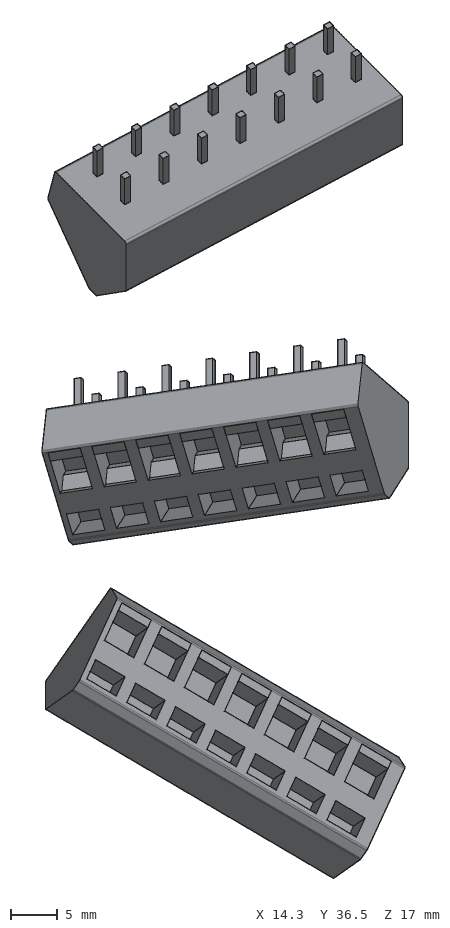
import cadquery as cq
import math

length = 36.55
width = 14.25
body_height = 12.98
pin_height = 4.02
edge_radius = 0.3

left_corner_x = -0.05
left_corner_z = 7.53
top_left_x = 1.28
bottom_left_x = left_corner_x + left_corner_z
bottom_right_x = 8.85
right_corner_z = width - bottom_right_x

pole_count = 7
pitch = 5.1
first_pole_inset = 2.52
first_pole_y = length / 2 - first_pole_inset
pole_positions = [first_pole_y - i * pitch for i in range(pole_count)]

pin_size_x = 0.73
pin_size_y = 0.8
first_pin_row_x = 4.25
second_pin_row_x = 9.3
pin_rows = [first_pin_row_x, second_pin_row_x]

opening_width = 3.73
opening_depth = 3.3
lower_opening_bottom_z = 0.45
lower_opening_top_z = 2.2
upper_opening_bottom_z = 3.95
upper_opening_top_z = 6.7
step_bottom_z = 4.4
step_top_z = 6.35
step_angle = 12.5

pad_top_z = 7.4
pad_rise = 0.055


def slope_point(z, depth=0.0):
    """Point reached by going squarely into the left slope from height z on its surface."""
    travel = depth / math.sqrt(2)
    return (bottom_left_x - z + travel, z + travel)


def extrude_pole(points, y):
    """Prism with an XZ outline, as wide as an opening and centred on a pole."""
    plane = cq.Workplane("XZ", origin=(0, y, 0))
    return plane.polyline(points).close().extrude(opening_width / 2, both=True)


def make_housing():
    outline = [
        (bottom_left_x, 0),
        (bottom_right_x, 0),
        (width, right_corner_z),
        (width, body_height),
        (top_left_x, body_height),
        (left_corner_x, left_corner_z),
    ]
    prism = cq.Workplane("XZ").polyline(outline).close().extrude(length / 2, both=True)
    return prism.edges("|Y").fillet(edge_radius)


def lower_opening(y):
    outline = [
        slope_point(lower_opening_bottom_z),
        slope_point(lower_opening_bottom_z, opening_depth),
        slope_point(lower_opening_top_z, opening_depth),
        slope_point(lower_opening_top_z),
    ]
    return extrude_pole(outline, y)


def upper_opening(y):
    """Stepped opening: its lower wall goes in, climbs a steep step and goes in again."""
    step_depth = (step_bottom_z - upper_opening_bottom_z) * math.sqrt(2)
    step_start = slope_point(upper_opening_bottom_z, step_depth)
    step_rise = step_top_z - step_bottom_z
    step_end = (step_start[0] + step_rise * math.tan(math.radians(step_angle)), step_top_z)
    throat_z = (bottom_left_x + step_end[1] - step_end[0]) / 2
    outline = [
        slope_point(upper_opening_bottom_z),
        step_start,
        step_end,
        slope_point(throat_z, opening_depth),
        slope_point(upper_opening_top_z, opening_depth),
        slope_point(upper_opening_top_z),
    ]
    return extrude_pole(outline, y)


def pad(y):
    """Thin raised pad, rooted in the housing by as much as it stands out."""
    outline = [
        slope_point(upper_opening_top_z, pad_rise),
        slope_point(pad_top_z, pad_rise),
        slope_point(pad_top_z, -pad_rise),
        slope_point(upper_opening_top_z, -pad_rise),
    ]
    return extrude_pole(outline, y)


def pin(x, y):
    base = cq.Workplane("XY", origin=(x, y, body_height))
    return base.rect(pin_size_x, pin_size_y).extrude(pin_height)


result = make_housing()
for pole_y in pole_positions:
    result = result.cut(lower_opening(pole_y)).cut(upper_opening(pole_y))
    result = result.union(pad(pole_y))
    for row_x in pin_rows:
        result = result.union(pin(row_x, pole_y))